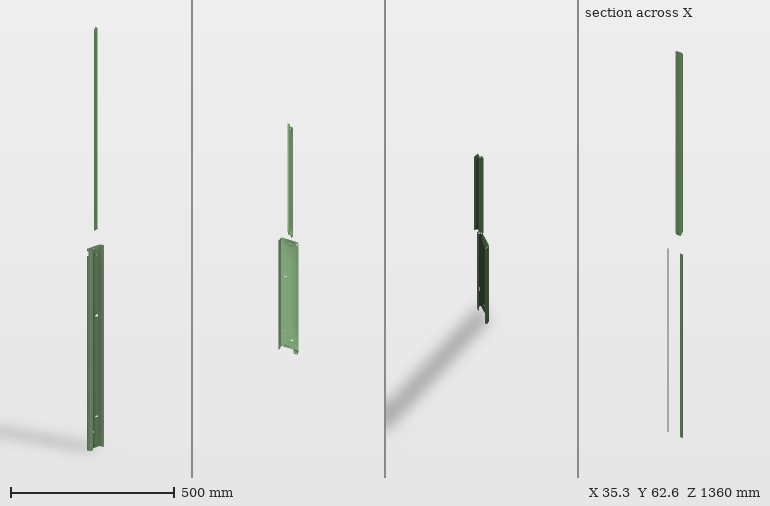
import cadquery as cq
import math

total_height = 1359.99
total_width = 35.29
total_depth = 62.55
top_z = total_height / 2
bottom_z = -total_height / 2
right_x = total_width / 2
left_x = -total_width / 2
front_y = -total_depth / 2
back_y = total_depth / 2

section_length = 650.0
channel_top_z = bottom_z + section_length
rail_bottom_z = top_z - section_length

channel_sheet = 1.2
web_x = -13.6
flange_right_x = 1.6
front_flange_y = -30.3
front_bend_radius = 3.0
return_lip_end_y = -18.0
back_flange_y = 28.5
back_bend_radius = 4.0
hem_left_x = -6.0

corner_cut_right_x = -5.0
corner_cut_back_y = -22.5
corner_cut_bottom_z = -54.0
corner_cut_height = 17.0

small_hole_diameter = 4.0
small_hole_centres = [(-0.5, -36.0), (12.3, -61.0)]
web_slot_y = 15.0
web_slot_length = 14.0
web_slots = [(-256.0, 7.0), (-581.5, 4.5)]
keyhole_z = -628.8
keyhole_round_y = -8.0
keyhole_round_diameter = 11.5
keyhole_slot_end_y = 2.0
keyhole_slot_height = 7.0

flange_slot_x = -6.0
flange_slot_width = 3.0
flange_slot_z = -528.0
flange_slot_length = 38.0
bump_left_x = -6.0
bump_right_x = 0.3
bump_top_z = -328.0
bump_crest_top_z = -359.0
bump_crest_bottom_z = -391.0
bump_bottom_z = -398.0

pad_chamfer = 1.0
web_pads = [(-2.0, -60.5, 9.0, 14.0), (8.0, -670.0, 13.0, 10.0)]

rail_sheet = 1.5
rail_wall_x = 2.9
rail_wall_back_y = -1.0
rail_front_y = -17.2
rail_bend_radius = 3.0
mitre = 12.0
wall_slot_y = -10.3
wall_slot_width = 2.0
wall_slot_length = 13.0
wall_slot_z = top_z - 10.0

strip_bottom_setback = 4.0
strip_sheet = 1.2
strip_left_x = -5.5
strip_back_y = 3.5
strip_back_right_x = -4.0
strip_wall_back_y = -2.5
strip_wall_front_y = -5.6
strip_front_left_x = -2.5
strip_left_front_y = -1.5


def block(x_range, y_range, z_range):
    """Box between the given limits."""
    lengths = [high - low for low, high in (x_range, y_range, z_range)]
    corner = (x_range[0], y_range[0], z_range[0])
    return cq.Workplane("XY").box(*lengths, centered=False).translate(corner)


def span(centre, length):
    return (centre - length / 2, centre + length / 2)


def inner_points(outer, thickness):
    """Points one sheet thickness to the left of an open run of outer points, with mitred corners."""
    directions = [
        math.atan2(end[1] - start[1], end[0] - start[0]) for start, end in zip(outer, outer[1:])
    ]
    before = [directions[0]] + directions
    after = directions + [directions[-1]]
    points = []
    for (x, y), angle_in, angle_out in zip(outer, before, after):
        middle = (angle_in + angle_out) / 2
        reach = thickness / math.cos((angle_out - angle_in) / 2)
        points.append((x - reach * math.sin(middle), y + reach * math.cos(middle)))
    return points


def bent_sheet(outer, thickness, z_range, bends):
    """Sheet of constant thickness; `bends` gives the outer radius at chosen corner numbers."""
    inner = inner_points(outer, thickness)
    low, high = z_range
    sheet = (
        cq.Workplane("XY", origin=(0, 0, low))
        .polyline(outer + inner[::-1])
        .close()
        .extrude(high - low)
    )
    middle_z = (low + high) / 2
    for number, radius in bends.items():
        for corner, corner_radius in ((outer[number], radius), (inner[number], radius - thickness)):
            edge = cq.selectors.NearestToPointSelector((*corner, middle_z))
            sheet = sheet.edges("|Z").edges(edge).fillet(corner_radius)
    return sheet


def web_plane(y, z):
    """Plane facing +X at the left limit, with its first axis along +Y and its second along +Z."""
    return cq.Workplane(cq.Plane(origin=(left_x, y, z), xDir=(0, 1, 0), normal=(1, 0, 0)))


def channel_profile():
    """Outer corners, walked so that the sheet thickness lies to the left."""
    return [
        (hem_left_x, back_y - channel_sheet),
        (flange_right_x - channel_sheet, back_y - channel_sheet),
        (flange_right_x - channel_sheet, back_flange_y),
        (web_x, back_flange_y),
        (web_x, front_flange_y),
        (flange_right_x, front_flange_y),
        (flange_right_x, return_lip_end_y),
    ]


def web_openings():
    """Holes, slots and the keyhole that pass through the web only."""
    cut_depth = web_x + 2 * channel_sheet - left_x
    openings = []
    for y, z in small_hole_centres:
        openings.append(web_plane(y, z).circle(small_hole_diameter / 2).extrude(cut_depth))
    for z, height in web_slots:
        openings.append(web_plane(web_slot_y, z).slot2D(web_slot_length, height).extrude(cut_depth))
    keyhole_round = web_plane(keyhole_round_y, keyhole_z).circle(keyhole_round_diameter / 2)
    openings.append(keyhole_round.extrude(cut_depth))
    slot_length = keyhole_slot_end_y - keyhole_round_y
    slot_y = (keyhole_slot_end_y + keyhole_round_y) / 2
    keyhole_slot = web_plane(slot_y, keyhole_z).slot2D(slot_length, keyhole_slot_height)
    openings.append(keyhole_slot.extrude(cut_depth))
    return openings


def flange_openings():
    """Slot in the front flange, and the opening across its bend."""
    return [
        block(
            (left_x, corner_cut_right_x),
            (front_flange_y, corner_cut_back_y),
            (corner_cut_bottom_z, corner_cut_bottom_z + corner_cut_height),
        ),
        block(
            span(flange_slot_x, flange_slot_width),
            (front_flange_y, front_flange_y + channel_sheet),
            span(flange_slot_z, flange_slot_length),
        ),
    ]


def flange_bump():
    inner_y = front_flange_y + channel_sheet
    return (
        cq.Workplane("YZ", origin=(bump_left_x, 0, 0))
        .polyline(
            [
                (inner_y, bump_top_z),
                (front_flange_y, bump_top_z),
                (front_y, bump_crest_top_z),
                (front_y, bump_crest_bottom_z),
                (front_flange_y, bump_bottom_z),
                (inner_y, bump_bottom_z),
            ]
        )
        .close()
        .extrude(bump_right_x - bump_left_x)
    )


def make_channel():
    profile = channel_profile()
    bends = {3: back_bend_radius, 4: front_bend_radius, 5: front_bend_radius}
    channel = bent_sheet(profile, channel_sheet, (bottom_z, channel_top_z), bends)
    for opening in web_openings() + flange_openings():
        channel = channel.cut(opening)
    for y, z, width, height in web_pads:
        pad = block((left_x, web_x + channel_sheet), span(y, width), span(z, height))
        channel = channel.union(pad.faces("<X").chamfer(pad_chamfer))
    return channel.union(flange_bump())


def make_rail():
    profile = [
        (rail_wall_x, rail_wall_back_y),
        (rail_wall_x, rail_front_y),
        (right_x, rail_front_y),
    ]
    rail = bent_sheet(profile, rail_sheet, (rail_bottom_z, top_z), {1: rail_bend_radius})
    for end_z, inward in ((top_z, -1), (rail_bottom_z, 1)):
        corner = (
            cq.Workplane("XZ", origin=(0, rail_wall_back_y, 0))
            .polyline([(right_x - mitre, end_z), (right_x, end_z), (right_x, end_z + inward * mitre)])
            .close()
            .extrude(rail_wall_back_y - rail_front_y)
        )
        rail = rail.cut(corner)
    slot = block(
        (rail_wall_x, rail_wall_x + rail_sheet),
        span(wall_slot_y, wall_slot_width),
        span(wall_slot_z, wall_slot_length),
    )
    return rail.cut(slot)


def make_strip():
    start_z = rail_bottom_z + strip_bottom_setback
    outline = (
        cq.Workplane("XY", origin=(0, 0, start_z))
        .polyline(
            [
                (strip_left_x, strip_back_y),
                (strip_back_right_x, strip_back_y),
                (rail_wall_x, strip_wall_back_y),
                (rail_wall_x, strip_wall_front_y),
                (strip_front_left_x, strip_wall_front_y),
                (strip_left_x, strip_left_front_y),
            ]
        )
        .close()
    )
    length = top_z - start_z
    strip = outline.extrude(length)
    hollow = strip.faces("<Z").wires().toPending().offset2D(-strip_sheet, "intersection")
    return strip.cut(hollow.extrude(length, combine=False))


channel = make_channel()
rail = make_rail()
strip = make_strip()

result = cq.Compound.makeCompound([channel.val(), rail.val(), strip.val()])